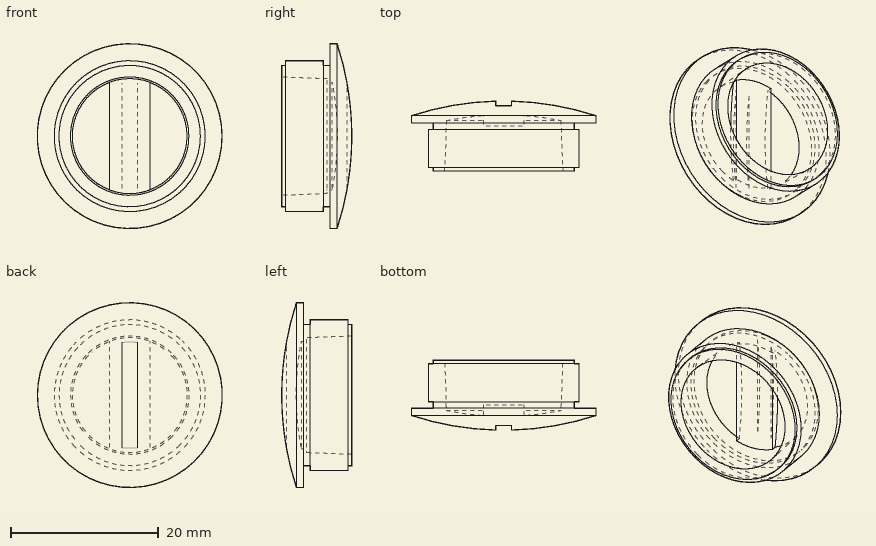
import cadquery as cq
import math

overall_length = 9.5
flange_diameter = 25.0
flange_thickness = 1.0
dome_rise = 2.0

body_diameter = 20.4
neck_diameter = 19.1
end_step_length = 0.5
neck_length = 0.85

mouth_diameter = 16.0
bore_inner_diameter = 15.5
dome_wall = 1.88

slot_width = 2.1
slot_depth = 0.65
rib_width = 5.5
rib_face_y = 6.1

flange_radius = flange_diameter / 2
body_radius = body_diameter / 2
neck_radius = neck_diameter / 2
mouth_radius = mouth_diameter / 2
bore_inner_radius = bore_inner_diameter / 2

flange_top_y = overall_length - dome_rise
flange_bottom_y = flange_top_y - flange_thickness
body_top_y = flange_bottom_y - neck_length

dome_radius = (flange_radius**2 + dome_rise**2) / (2 * dome_rise)
dome_center_y = overall_length - dome_radius
cavity_dome_radius = dome_radius - dome_wall


def sphere_y(sphere_radius, distance):
    """Height of a sphere about the dome center at a distance from the axis."""
    return dome_center_y + math.sqrt(sphere_radius**2 - distance**2)


def revolve_about_y(profile):
    return profile.close().revolve(360, (0, 0, 0), (0, 1, 0))


def make_outside():
    """Stepped body, flange and spherical cap as one solid."""
    profile = (
        cq.Workplane("XY")
        .lineTo(neck_radius, 0)
        .lineTo(neck_radius, end_step_length)
        .lineTo(body_radius, end_step_length)
        .lineTo(body_radius, body_top_y)
        .lineTo(neck_radius, body_top_y)
        .lineTo(neck_radius, flange_bottom_y)
        .lineTo(flange_radius, flange_bottom_y)
        .lineTo(flange_radius, flange_top_y)
        .threePointArc(
            (flange_radius / 2, sphere_y(dome_radius, flange_radius / 2)),
            (0, overall_length),
        )
    )
    return revolve_about_y(profile)


def make_cavity():
    """Tapered bore closed by a dome concentric with the cap."""
    profile = (
        cq.Workplane("XY")
        .lineTo(mouth_radius, 0)
        .lineTo(bore_inner_radius, sphere_y(cavity_dome_radius, bore_inner_radius))
        .threePointArc(
            (bore_inner_radius / 2, sphere_y(cavity_dome_radius, bore_inner_radius / 2)),
            (0, sphere_y(cavity_dome_radius, 0)),
        )
    )
    return revolve_about_y(profile)


def make_bar(width, start_y):
    """Bar along Z, from start_y to the top of the cap, spanning the flange."""
    return cq.Workplane("XY").box(
        width, overall_length - start_y, flange_diameter, centered=(True, False, True)
    ).translate((0, start_y, 0))


rib = make_bar(rib_width, rib_face_y)
slot = make_bar(slot_width, overall_length - slot_depth)

result = make_outside().cut(make_cavity().cut(rib)).cut(slot)